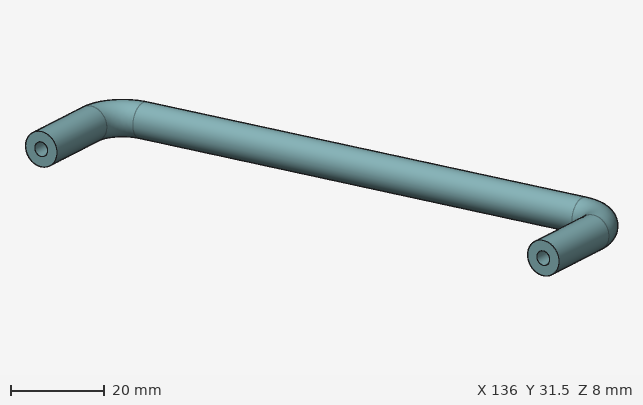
import cadquery as cq
import math

length = 136.0
depth = 31.5
rod_diameter = 8.0

bend_radius = rod_diameter

hole_diameter = 3.3
hole_depth = 10.0
drill_point_angle = 118.0

rod_radius = rod_diameter / 2
leg_x = length / 2 - rod_radius
bar_y = depth - rod_radius
leg_length = bar_y - bend_radius
bar_half_length = leg_x - bend_radius


def bent_rod():
    """Round bar swept along two legs, two quarter bends and a straight grip."""
    path = (
        cq.Workplane("XY")
        .moveTo(-leg_x, 0)
        .lineTo(-leg_x, leg_length)
        .radiusArc((-bar_half_length, bar_y), bend_radius)
        .lineTo(bar_half_length, bar_y)
        .radiusArc((leg_x, leg_length), bend_radius)
        .lineTo(leg_x, 0)
    )
    return cq.Workplane("XZ").center(-leg_x, 0).circle(rod_radius).sweep(path)


def mounting_hole(x):
    """Drilled hole with a conical bottom, running from the leg end along +Y."""
    hole_radius = hole_diameter / 2
    point_length = hole_radius / math.tan(math.radians(drill_point_angle / 2))
    return (
        cq.Workplane("XY")
        .moveTo(x, 0)
        .lineTo(x + hole_radius, 0)
        .lineTo(x + hole_radius, hole_depth)
        .lineTo(x, hole_depth + point_length)
        .close()
        .revolve(360, (x, 0, 0), (x, 1, 0))
    )


result = bent_rod()
for hole_x in (-leg_x, leg_x):
    result = result.cut(mounting_hole(hole_x))